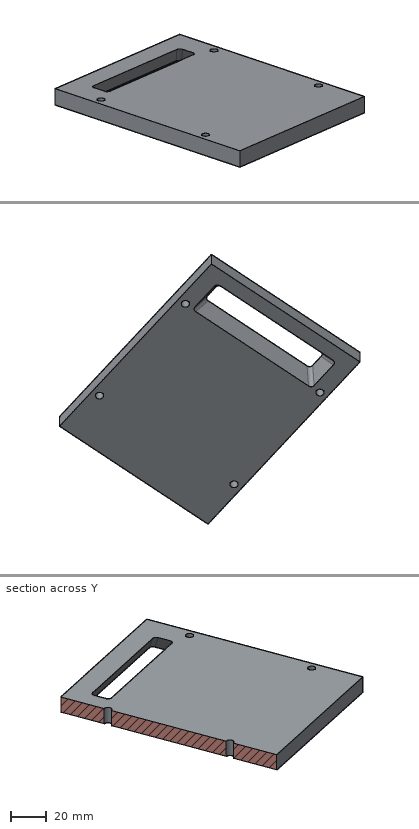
import cadquery as cq

length = 138.0
width = 106.0
thickness = 10.0

hole_diameter = 4.5
hole_spacing_x = 78.0
hole_spacing_y = 96.0

slot_width = 12.0
slot_length = 75.0
slot_corner_radius = 2.5
slot_edge_margin = 13.5
slot_flare = thickness / 2
slot_center_x = -length / 2 + slot_edge_margin + slot_width / 2


def make_plate():
    return cq.Workplane("XY").box(length, width, thickness)


def make_mounting_holes():
    return (
        cq.Workplane("XY", origin=(0, 0, -thickness / 2))
        .rect(hole_spacing_x, hole_spacing_y, forConstruction=True)
        .vertices()
        .circle(hole_diameter / 2)
        .extrude(thickness)
    )


def make_slot():
    """Slot cutter: a downward-flaring frustum with four rounded slanted corners."""
    return (
        cq.Workplane("XY", origin=(slot_center_x, 0, thickness / 2))
        .rect(slot_width, slot_length)
        .workplane(offset=-thickness)
        .rect(slot_width + 2 * slot_flare, slot_length + 2 * slot_flare)
        .loft(ruled=True)
        .edges("not (<Z or >Z)")
        .fillet(slot_corner_radius)
    )


result = make_plate().cut(make_mounting_holes()).cut(make_slot())